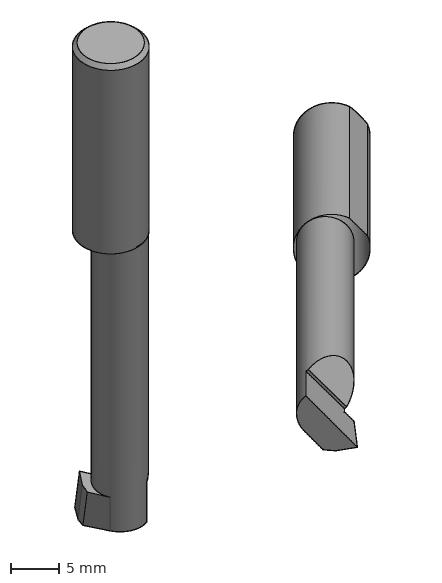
import cadquery as cq
import math

total_length = 63.0
shank_diameter = 8.0
shank_length = 24.95
shank_flat_y = 3.75
chamfer_radial = 0.5
chamfer_height = 0.5

neck_diameter = 6.0

head_height = 5.0
side_relief_angle = 6.0
end_relief_angle = 6.0
end_cutting_angle = 2.0
flank_corner = (-2.9, -2.1)
front_corner_x = -2.0

scarf_floor_z = 5.7
scarf_floor_depth = 0.3

shank_radius = shank_diameter / 2
neck_radius = neck_diameter / 2
shank_bottom_z = total_length - shank_length
neck_center_x = shank_radius - neck_radius
tip_x = -shank_radius
cut_size = 4 * shank_diameter


def make_shank():
    """Round shank with a chamfered top rim and a full-length flat on +Y."""
    half_profile = [
        (0, shank_bottom_z),
        (shank_radius, shank_bottom_z),
        (shank_radius, total_length - chamfer_height),
        (shank_radius - chamfer_radial, total_length),
        (0, total_length),
    ]
    shank = cq.Workplane("XZ").polyline(half_profile).close().revolve(360, (0, 0), (0, 1))
    flat_cutter = (
        cq.Workplane("XY", origin=(0, shank_flat_y, shank_bottom_z))
        .rect(cut_size, cut_size)
        .extrude(shank_length)
        .translate((0, cut_size / 2, 0))
    )
    return shank.cut(flat_cutter)


def make_neck():
    """Offset round neck, flush with the shank on +X, scarfed to a half round at the tip."""
    neck = cq.Workplane("XY").center(neck_center_x, 0).circle(neck_radius).extrude(shank_bottom_z)
    scarf_rise = cut_size - scarf_floor_depth
    scarf_profile = [
        (0, 0),
        (0, scarf_floor_z),
        (scarf_floor_depth, scarf_floor_z),
        (cut_size, scarf_floor_z + scarf_rise),
        (cut_size, 0),
    ]
    scarf = cq.Workplane("YZ").polyline(scarf_profile).close().extrude(cut_size, both=True)
    return neck.cut(scarf)


def head_section(z):
    """Head outline at height z; the flank recedes toward +X as z rises."""
    shift = z * math.tan(math.radians(side_relief_angle))
    points = [
        (tip_x + shift, 0),
        (flank_corner[0] + shift, flank_corner[1]),
        (front_corner_x + shift, -neck_radius),
        (neck_center_x, -neck_radius),
        (neck_center_x, 0),
    ]
    return cq.Wire.makePolygon([cq.Vector(x, y, z) for x, y in points], close=True)


def make_head():
    """Cutting head on the -Y side, with its rake face on the plane y = 0."""
    sections = [head_section(0), head_section(head_height)]
    return cq.Workplane(obj=cq.Solid.makeLoft(sections, True))


def make_end_cutter():
    """Block below the end face, which rises from the tip toward +X and -Y."""
    normal = (
        -math.tan(math.radians(end_cutting_angle)),
        math.tan(math.radians(end_relief_angle)),
        1,
    )
    end_plane = cq.Plane(origin=(tip_x, 0, 0), xDir=(0, 1, -normal[1]), normal=normal)
    return cq.Workplane(end_plane).rect(cut_size, cut_size).extrude(-cut_size)


result = make_shank().union(make_neck()).union(make_head()).cut(make_end_cutter())